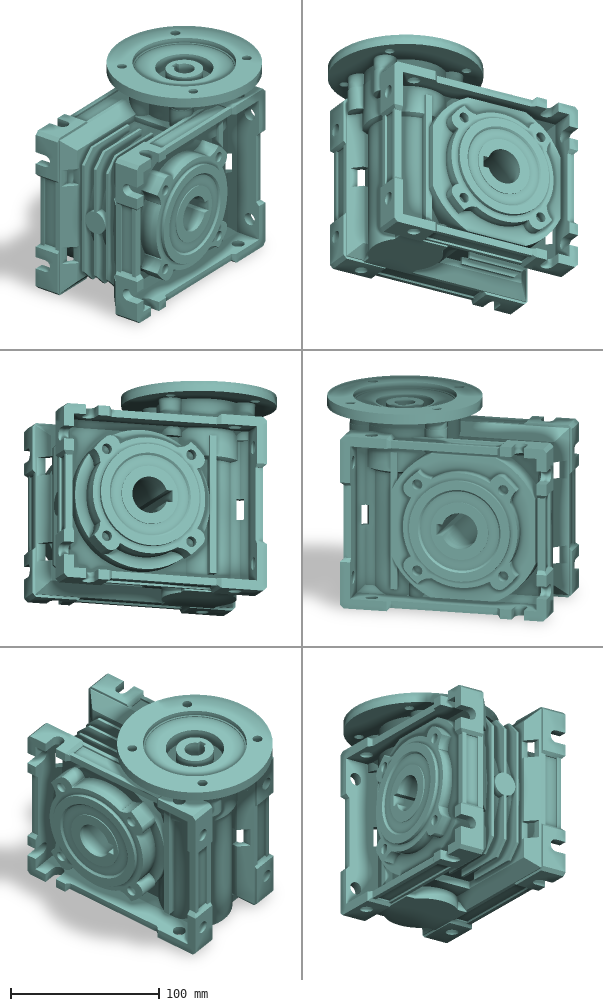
import cadquery as cq
import math


BORE_DIA = 25.0
KEYWAY_WIDTH = 8.0
KEYWAY_REACH = 16.1
SHAFT_DIA = 40.0
RECESS_DIA = 55.0
RECESS_DEPTH = 1.3
SHAFT_PROUD = 0.6
HUB_DIA = 70.0
HUB_X = 46.5
COVER_DIA = 80.0
COVER_X = 43.9
COVER_HOLE_DIA = 7.1
COVER_HOLE_DEPTH = 6.5
COVER_BOLT_CIRCLE = 84.8
LOBE_RADIUS = 49.0
LOBE_TIP_HALF_WIDTH = 6.5
LOBE_ROOT_RADIUS = 39.3
LOBE_ROOT_HALF_WIDTH = 9.7
LOBE_CONCAVE_HALF_WIDTH = 7.0
LOBE_BULGE_HALF_WIDTH = 10.5

LEFT_DRUM_X = 36.2
LEFT_DRUM_SIDE = 100.1
LEFT_DRUM_DIA = 109.8
RIGHT_DRUM_X = 30.0
RIGHT_DRUM_DIA = 95.9

FRAME_Y = 12.0
RAIL_HALF_Y = 70.2
RAIL_HALF_Z = 58.2
RAIL_X = 40.1
WEB_X = 23.7
PLATE_X = 15.5
POCKET_HALF_Y = 65
POCKET_HALF_Z = 53.1
POCKET_FLOOR_X = 19.8
POCKET_SLOPE = 4.5
GROOVE_OUTER_X = 37.0
TOP_GROOVE_INNER_X = 26.5
END_GROOVE_INNER_X = 27.6
GROOVE_DEPTH = 1.5

FOOT_INNER_X = 24.4
FOOT_X = 42.7
FOOT_RISE = 1.8
FOOT_LEG = 34.8
FOOT_CHAMFER = 2.5
MOUNT_HOLE_DIA = 8.8
MOUNT_X = 35.0
MOUNT_INSET = 20.0

WINDOW_OUTER_X = 22.9
WINDOW_Z = 29.5
WINDOW_HEIGHT = 12.5
WINDOW_OVERLAP = 0.5
BACK_WINDOW_OUTER_X = 22.0
BACK_WINDOW_HEIGHT = 14.3
BACK_WINDOW_OVERLAP = 2.5

BODY_DIA = 90.0
BLOCK_FRONT_Y = 14.6
BLOCK_TOP_Z = 48.7
BLOCK_BOTTOM_Z = -50.4
FIN_REACH = 50.2
FIN_END_Y = 0.5
FIN_THICKNESS = 2.0
FIN_PITCH = 10.0
FIN_CHAMFER = 9.7
PLUG_DIA = 16.5

WORM_Y = 50.0
WORM_DIA = 50.7
WORM_BOTTOM_Z = -59.3
WORM_FOOT_HALF_WIDTH = 17.2
BASE_WIDTH_Y = 37.0
NECK_DIA = 57.8
UPPER_NECK_DIA = 57.4
NECK_BOTTOM_Z = 33.8
NECK_CONE_HEIGHT = 2.0
FLANGE_DIA = 105.0
FLANGE_TOP_Z = 80.1
FLANGE_THICKNESS = 7.0
JOINT_Z = 63.5
NECK_LOBE_DIA = 16.0
NECK_LOBE_X = 17.0
NECK_LOBE_Y = 26
NECK_LOBE_BOTTOM_Z = 47.0
NECK_LOBE_TAPER = 3
RIB_Y = 49.9
RIB_WIDTH = 4.5
RIB_X = 30.9
RIB_HALF_LENGTH = 47.5
BOSS_DIA = 11.4
BOSS_X = 21.1
BOSS_Y = 36.0
BOSS_TOP_Z = -44.2
SPIGOT_DIA = 70.0
SPIGOT_DEPTH = 3.5
SPIGOT_STEP_DIA = 67.6
SPIGOT_STEP_DEPTH = 0.6
WELL_DIA = 39.3
WELL_DEPTH = 13.8
INPUT_HUB_DIA = 25.5
INPUT_HUB_DROP = 4.9
INPUT_BORE_DIA = 14.0
INPUT_BORE_DEPTH = 32.5
INPUT_KEY_WIDTH = 5.0
INPUT_KEY_REACH = 9.1
FLANGE_HOLE_DIA = 6.7
FLANGE_HOLE_SPACING = 60.1

FOOT_HALF_Y = RAIL_HALF_Y + FOOT_RISE
FOOT_HALF_Z = RAIL_HALF_Z + FOOT_RISE
FLANGE_BOTTOM_Z = FLANGE_TOP_Z - FLANGE_THICKNESS


def box(x0, x1, y0, y1, z0, z1):
    return cq.Workplane("XY").box(x1 - x0, y1 - y0, z1 - z0, centered=False).translate((x0, y0, z0))


def x_cylinder(diameter, x0, x1):
    return cq.Workplane("YZ", origin=(x0, 0, 0)).circle(diameter / 2).extrude(x1 - x0)


def z_cylinder(diameter, x, y, z0, z1):
    return cq.Workplane("XY", origin=(x, y, z0)).circle(diameter / 2).extrude(z1 - z0)


def frame_prism(half_y, half_z, x0, x1):
    return box(x0, x1, FRAME_Y - half_y, FRAME_Y + half_y, -half_z, half_z)


def frame_taper(half_y, half_z, x0, x1):
    """Rectangular frustum growing at 45 degrees up to the given half sizes at x1."""
    growth = x1 - x0
    return (
        cq.Workplane("YZ", origin=(x0, FRAME_Y, 0))
        .rect(2 * (half_y - growth), 2 * (half_z - growth))
        .workplane(offset=growth)
        .rect(2 * half_y, 2 * half_z)
        .loft(ruled=True)
    )


def foot():
    """Corner block at +Y +Z whose free ends slope down to the rails."""
    block = box(
        FOOT_INNER_X, FOOT_X,
        FRAME_Y + FOOT_HALF_Y - FOOT_LEG, FRAME_Y + FOOT_HALF_Y,
        FOOT_HALF_Z - FOOT_LEG, FOOT_HALF_Z,
    )
    block = block.edges(">Y and >Z").chamfer(FOOT_CHAMFER)
    block = block.faces("<Y").edges(">Z or >X").chamfer(FOOT_CHAMFER)
    return block.faces("<Z").edges(">Y or >X").chamfer(FOOT_CHAMFER)


def rail_grooves():
    """Shallow grooves along the outer faces of the four rails."""
    y0 = FRAME_Y - RAIL_HALF_Y
    y1 = FRAME_Y + RAIL_HALF_Y
    top = box(
        TOP_GROOVE_INNER_X, GROOVE_OUTER_X, y0, y1, RAIL_HALF_Z - GROOVE_DEPTH, RAIL_HALF_Z
    )
    back = box(
        END_GROOVE_INNER_X, GROOVE_OUTER_X, y1 - GROOVE_DEPTH, y1, -RAIL_HALF_Z, RAIL_HALF_Z
    )
    grooves = top.union(top.mirror("XY"))
    return grooves.union(back).union(back.mirror("XZ", (0, FRAME_Y, 0)))


def mounting_holes():
    """Open slots at the -Y end of the frame and round holes at the +Y end."""
    front_y = FRAME_Y - FOOT_HALF_Y
    back_y = FRAME_Y + FOOT_HALF_Y
    hole_z = FOOT_HALF_Z - MOUNT_INSET
    radius = MOUNT_HOLE_DIA / 2

    along_y = cq.Workplane("XZ", origin=(0, back_y, 0)).pushPoints([(MOUNT_X, hole_z), (MOUNT_X, -hole_z)])
    cuts = along_y.circle(radius).extrude(back_y - front_y)
    for y in (front_y + MOUNT_INSET, back_y - MOUNT_INSET):
        cuts = cuts.union(z_cylinder(MOUNT_HOLE_DIA, MOUNT_X, y, -FOOT_HALF_Z, FOOT_HALF_Z))

    slot_y = front_y + MOUNT_INSET
    cuts = cuts.union(box(MOUNT_X, FOOT_X, slot_y - radius, slot_y + radius, -FOOT_HALF_Z, FOOT_HALF_Z))
    for z in (hole_z, -hole_z):
        cuts = cuts.union(box(MOUNT_X, FOOT_X, front_y, FRAME_Y, z - radius, z + radius))
    return cuts


def web_windows():
    """Rectangular windows through the sloped webs at both Y ends."""
    floor_half_y = POCKET_HALF_Y - POCKET_SLOPE
    front_y = FRAME_Y - floor_half_y + WINDOW_OVERLAP
    back_y = FRAME_Y + floor_half_y - BACK_WINDOW_OVERLAP
    half = BACK_WINDOW_HEIGHT / 2
    cuts = box(PLATE_X, BACK_WINDOW_OUTER_X, back_y, FRAME_Y + FOOT_HALF_Y, -half, half)
    for z in (WINDOW_Z, -WINDOW_Z):
        z0 = z - WINDOW_HEIGHT / 2
        z1 = z + WINDOW_HEIGHT / 2
        cuts = cuts.union(box(PLATE_X, WINDOW_OUTER_X, FRAME_Y - FOOT_HALF_Y, front_y, z0, z1))
    return cuts


def side_frame():
    """Open frame on the +X side."""
    frame = frame_taper(RAIL_HALF_Y, RAIL_HALF_Z, PLATE_X, WEB_X)
    frame = frame.union(frame_prism(RAIL_HALF_Y, RAIL_HALF_Z, WEB_X, RAIL_X))
    frame = frame.cut(rail_grooves())

    corner = foot()
    upper = corner.union(corner.mirror("XZ", (0, FRAME_Y, 0)))
    frame = frame.union(upper).union(upper.mirror("XY"))

    slope_x = POCKET_FLOOR_X + POCKET_SLOPE
    frame = frame.cut(frame_taper(POCKET_HALF_Y, POCKET_HALF_Z, POCKET_FLOOR_X, slope_x))
    frame = frame.cut(frame_prism(POCKET_HALF_Y, POCKET_HALF_Z, slope_x, FOOT_X))
    return frame.cut(mounting_holes()).cut(web_windows())


def lobe(angle, inner_x):
    """Cover ear with one bulging and one concave flank, its outer edge centred on the bore."""
    tip = math.sqrt(LOBE_RADIUS ** 2 - LOBE_TIP_HALF_WIDTH ** 2)
    flank_radius = (tip + LOBE_ROOT_RADIUS) / 2
    return (
        cq.Workplane("YZ", origin=(inner_x, 0, 0))
        .moveTo(0, LOBE_ROOT_HALF_WIDTH)
        .lineTo(LOBE_ROOT_RADIUS, LOBE_ROOT_HALF_WIDTH)
        .threePointArc((flank_radius, LOBE_CONCAVE_HALF_WIDTH), (tip, LOBE_TIP_HALF_WIDTH))
        .threePointArc((LOBE_RADIUS, 0), (tip, -LOBE_TIP_HALF_WIDTH))
        .threePointArc((flank_radius, -LOBE_BULGE_HALF_WIDTH), (LOBE_ROOT_RADIUS, -LOBE_ROOT_HALF_WIDTH))
        .lineTo(0, -LOBE_ROOT_HALF_WIDTH)
        .close()
        .extrude(COVER_X - inner_x)
        .rotate((0, 0, 0), (1, 0, 0), angle)
    )


def cover(inner_x):
    """Lobed cover with hub ring on the +X side, starting at inner_x."""
    part = x_cylinder(COVER_DIA, inner_x, COVER_X).union(x_cylinder(HUB_DIA, inner_x, HUB_X))
    ears = lobe(45, inner_x).union(lobe(135, inner_x))
    ears = ears.union(ears.mirror("XY"))
    part = part.union(ears)

    floor_x = HUB_X - RECESS_DEPTH
    recess = (
        cq.Workplane("YZ", origin=(floor_x, 0, 0))
        .circle(RECESS_DIA / 2)
        .workplane(offset=RECESS_DEPTH)
        .circle(RECESS_DIA / 2 + RECESS_DEPTH)
        .loft()
    )
    part = part.cut(recess).union(x_cylinder(SHAFT_DIA, inner_x, floor_x + SHAFT_PROUD))
    holes = (
        cq.Workplane("YZ", origin=(COVER_X, 0, 0))
        .polarArray(COVER_BOLT_CIRCLE / 2, 45, 360, 4)
        .circle(COVER_HOLE_DIA / 2)
        .extrude(-COVER_HOLE_DEPTH)
    )
    return part.cut(holes)


def left_drum():
    """Square drum with its corners rounded by a concentric cylinder."""
    half = LEFT_DRUM_SIDE / 2
    return x_cylinder(LEFT_DRUM_DIA, -LEFT_DRUM_X, -POCKET_FLOOR_X).intersect(
        box(-LEFT_DRUM_X, -POCKET_FLOOR_X, -half, half, -half, half)
    )


def central_body():
    """Gear housing between the frames with its fins and the front plug."""
    body = x_cylinder(BODY_DIA, -PLATE_X, PLATE_X)
    half = BODY_DIA / 2
    body = body.union(box(-PLATE_X, PLATE_X, 0, WORM_Y, -half, half))
    body = body.union(box(-PLATE_X, PLATE_X, BLOCK_FRONT_Y, WORM_Y, BLOCK_BOTTOM_Z, BLOCK_TOP_Z))
    fin = box(-FIN_THICKNESS / 2, FIN_THICKNESS / 2, -FIN_REACH, FIN_END_Y, -FIN_REACH, FIN_REACH)
    fin = fin.faces("<Y").edges("|X").chamfer(FIN_CHAMFER)
    for x in (-FIN_PITCH, 0, FIN_PITCH):
        body = body.union(fin.translate((x, 0, 0)))
    plug = cq.Workplane("XZ").circle(PLUG_DIA / 2).extrude(FIN_REACH)
    return body.union(plug)


def worm_housing():
    """Vertical worm tube, its wider neck and the screw lobes around the neck."""
    tube = z_cylinder(WORM_DIA, 0, WORM_Y, -POCKET_HALF_Z, NECK_BOTTOM_Z)
    half_x = WORM_FOOT_HALF_WIDTH
    half_y = BASE_WIDTH_Y / 2
    foot_end = z_cylinder(WORM_DIA, 0, WORM_Y, WORM_BOTTOM_Z, BLOCK_BOTTOM_Z)
    foot_end = foot_end.intersect(box(-half_x, half_x, 0, FLANGE_DIA, WORM_BOTTOM_Z, BLOCK_BOTTOM_Z))
    narrow_base = box(
        -half_x, half_x, WORM_Y - half_y, WORM_Y + half_y, WORM_BOTTOM_Z, BLOCK_BOTTOM_Z
    )
    wide_base = box(
        -FOOT_INNER_X, FOOT_INNER_X, WORM_Y - half_y, WORM_Y + half_y, WORM_BOTTOM_Z, -POCKET_HALF_Z
    )
    base = narrow_base.union(wide_base)
    cone = cq.Solid.makeCone(
        WORM_DIA / 2, NECK_DIA / 2, NECK_CONE_HEIGHT,
        pnt=cq.Vector(0, WORM_Y, NECK_BOTTOM_Z - NECK_CONE_HEIGHT),
    )
    neck = z_cylinder(NECK_DIA, 0, WORM_Y, NECK_BOTTOM_Z, JOINT_Z)
    housing = tube.union(foot_end).union(base).union(cone).union(neck)
    housing = housing.union(z_cylinder(UPPER_NECK_DIA, 0, WORM_Y, JOINT_Z, FLANGE_BOTTOM_Z))
    lobe_points = [
        (sx * NECK_LOBE_X, sy * NECK_LOBE_Y) for sx in (-1, 1) for sy in (-1, 1)
    ]
    for x, y in lobe_points:
        housing = housing.union(z_cylinder(NECK_LOBE_DIA, x, WORM_Y + y, NECK_LOBE_BOTTOM_Z, JOINT_Z))
        upper = (
            cq.Workplane("XY", origin=(x, WORM_Y + y, FLANGE_BOTTOM_Z))
            .circle(NECK_LOBE_DIA / 2)
            .extrude(JOINT_Z - FLANGE_BOTTOM_Z, taper=NECK_LOBE_TAPER)
        )
        housing = housing.union(upper)

    rib = box(
        -RIB_X, RIB_X, RIB_Y - RIB_WIDTH / 2, RIB_Y + RIB_WIDTH / 2, -RIB_HALF_LENGTH, RIB_HALF_LENGTH
    )
    boss = z_cylinder(BOSS_DIA, -BOSS_X, BOSS_Y, -POCKET_HALF_Z, BOSS_TOP_Z)
    return housing.union(rib).union(boss)


def flange_cuts():
    """Spigot recess, well around the input hub, keyed bore and flange holes."""
    spigot_z = FLANGE_TOP_Z - SPIGOT_DEPTH
    hub_top_z = FLANGE_TOP_Z - INPUT_HUB_DROP
    well_z = FLANGE_TOP_Z - WELL_DEPTH
    bore_z = FLANGE_TOP_Z - INPUT_BORE_DEPTH
    cuts = z_cylinder(SPIGOT_DIA, 0, WORM_Y, spigot_z, FLANGE_TOP_Z)
    cuts = cuts.union(z_cylinder(SPIGOT_STEP_DIA, 0, WORM_Y, spigot_z - SPIGOT_STEP_DEPTH, spigot_z))
    cuts = cuts.union(z_cylinder(WELL_DIA, 0, WORM_Y, well_z, spigot_z))
    cuts = cuts.cut(z_cylinder(INPUT_HUB_DIA, 0, WORM_Y, well_z, hub_top_z))
    cuts = cuts.union(z_cylinder(INPUT_BORE_DIA, 0, WORM_Y, bore_z, hub_top_z))
    half = INPUT_KEY_WIDTH / 2
    cuts = cuts.union(box(-INPUT_KEY_REACH, 0, WORM_Y - half, WORM_Y + half, bore_z, hub_top_z))
    holes = (
        cq.Workplane("XY", origin=(0, WORM_Y, FLANGE_BOTTOM_Z))
        .rarray(FLANGE_HOLE_SPACING, FLANGE_HOLE_SPACING, 2, 2)
        .circle(FLANGE_HOLE_DIA / 2)
        .extrude(FLANGE_THICKNESS)
    )
    return cuts.union(holes)


def output_bore():
    half = KEYWAY_WIDTH / 2
    return x_cylinder(BORE_DIA, -HUB_X, HUB_X).union(box(-HUB_X, HUB_X, 0, KEYWAY_REACH, -half, half))


right_frame = side_frame()
result = central_body().union(right_frame).union(right_frame.mirror("YZ"))
result = result.union(worm_housing())
result = result.union(left_drum()).union(x_cylinder(RIGHT_DRUM_DIA, POCKET_FLOOR_X, RIGHT_DRUM_X))
result = result.union(cover(LEFT_DRUM_X).mirror("YZ")).union(cover(RIGHT_DRUM_X))
result = result.union(z_cylinder(FLANGE_DIA, 0, WORM_Y, FLANGE_BOTTOM_Z, FLANGE_TOP_Z))
result = result.cut(flange_cuts()).cut(output_bore())